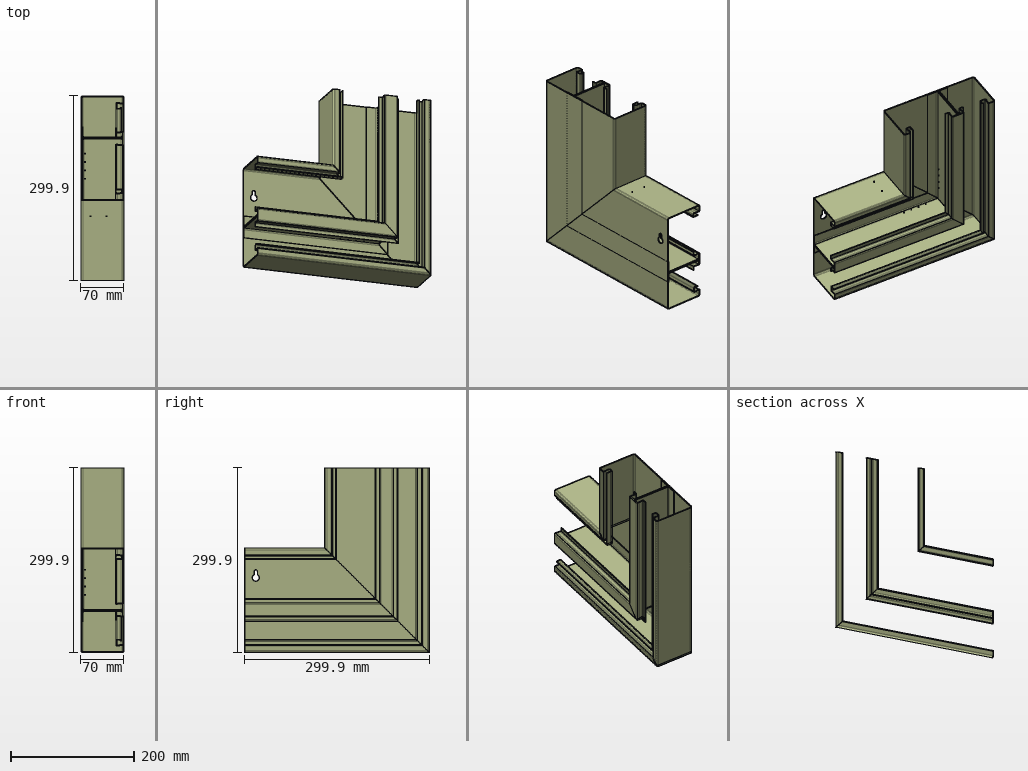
import cadquery as cq
import math

depth = 70.0
leg_length = 299.85
width = 170.0
wall = 1.7
corner_radius = 3.4
back_x = -depth / 2
half = leg_length / 2

lip_wall = 1.5
lip_face = 12.9
lip_edge_radius = 2.4
ledge_flat = 5.0
ledge_drop = 0.8
curl_radius = 2.5
outer_lip_inset = 13.3
outer_hook_height = 21.6
outer_hook_tip = 4.4
inner_lip_inset = 14.3
inner_hook_height = 19.0
inner_hook_tip = 4.0
inner_lip_fillet = 2.0

web_bottom = 66.4
web_thickness = 3.7
web_skin = 1.0
foot_half_width = 18.7
foot_thickness = 1.2
root_radius = 2.2
head_middle = 69.4
head_half_width = 11.3
head_thickness = 2.6
head_leg_inset = 14.2
head_leg_reach = 5.6

keyhole_end = 18.0
keyhole_height = 121.6
keyhole_diameter = 11.0
keyhole_slot_width = 5.0
keyhole_slot_top = 134.2
wall_hole_diameter = 1.4
wall_hole_depths = (15.7, 41.6)
wall_hole_offset = 25.5
web_hole_diameter = 1.4
web_hole_depth = 6.6
web_hole_first = 93.7
web_hole_pitch = 13.6
web_hole_count = 4


def section():
    """Cross-section plane of the lower arm: x from the back, y from the outer wall."""
    return cq.Workplane("XZ", origin=(back_x, half, -half))


def bar(x0, x1, y0, y1):
    """Rectangular strip of the section, run along the whole arm."""
    return section().moveTo((x0 + x1) / 2, (y0 + y1) / 2).rect(x1 - x0, y1 - y0).extrude(leg_length)


def mitre(arm):
    """Trim the lower arm on the diagonal from the outer to the inner corner."""
    beyond = (
        cq.Workplane("YZ", origin=(-depth, 0, 0))
        .polyline([(half, -half), (half, half), (-half, half)])
        .close()
        .extrude(2 * depth)
    )
    return arm.cut(beyond)


def upright(arm):
    """Mirror the lower arm across the mitre plane to give the upper arm."""
    return arm.mirror((0, 1, 1))


def bend_middle(radius):
    """Distance from the corner's two sides to the middle of a quarter-round corner."""
    return radius * (1 - math.sqrt(0.5))


def ledge_and_bend(edge, leg, side):
    """Start a lip outline at the open side: ledge sloping to the leg, then the bend into it.

    edge is the height of the ledge on the side away from the mouth, leg the position of the leg's
    outside, and side is +1 where the leg points away from the outer wall, -1 where it points to it.
    """
    low = edge - side * ledge_drop
    bend = bend_middle(curl_radius)
    return (
        section()
        .moveTo(depth - lip_wall, edge)
        .lineTo(depth - ledge_flat, edge)
        .lineTo(leg + curl_radius, low)
        .threePointArc((leg + bend, low + side * bend), (leg, low + side * curl_radius))
    )


def curled_lip():
    """Ledge, leg and hook with a curled tip beside the outer wall."""
    leg = depth - outer_lip_inset
    tip = depth - outer_hook_tip
    top = outer_hook_height
    inside_radius = curl_radius - lip_wall
    bend = bend_middle(curl_radius)
    inside_bend = lip_wall + bend_middle(inside_radius)
    low_face = lip_face - ledge_drop
    return (
        ledge_and_bend(lip_face - lip_wall, leg, 1)
        .lineTo(leg, top - curl_radius)
        .threePointArc((leg + bend, top - bend), (leg + curl_radius, top))
        .lineTo(tip - curl_radius, top)
        .threePointArc((tip - bend, top - bend), (tip, top - curl_radius))
        .lineTo(tip - lip_wall, top - curl_radius)
        .threePointArc((tip - inside_bend, top - inside_bend), (tip - curl_radius, top - lip_wall))
        .lineTo(leg + curl_radius, top - lip_wall)
        .threePointArc((leg + inside_bend, top - inside_bend), (leg + lip_wall, top - curl_radius))
        .lineTo(leg + lip_wall, low_face)
        .lineTo(leg + curl_radius, low_face)
        .lineTo(depth - ledge_flat, lip_face)
        .lineTo(depth - lip_wall, lip_face)
        .close()
        .extrude(leg_length)
    )


def flat_lip():
    """Ledge, leg and straight hook, drawn at the outer wall and moved to the inner one."""
    leg = depth - inner_lip_inset
    leg_inside = leg + lip_wall
    tip = depth - inner_hook_tip
    low_face = lip_face - ledge_drop
    fillet_bend = bend_middle(inner_lip_fillet)
    lip = (
        ledge_and_bend(lip_face - lip_wall, leg, 1)
        .lineTo(leg, inner_hook_height)
        .lineTo(tip, inner_hook_height)
        .lineTo(tip, inner_hook_height - lip_wall)
        .lineTo(leg_inside, inner_hook_height - lip_wall)
        .lineTo(leg_inside, low_face + inner_lip_fillet)
        .threePointArc(
            (leg_inside + fillet_bend, low_face + fillet_bend), (leg_inside + inner_lip_fillet, low_face)
        )
        .lineTo(depth - ledge_flat, lip_face)
        .lineTo(depth - lip_wall, lip_face)
        .close()
        .extrude(leg_length)
    )
    return lip.mirror("XY", (0, 0, width / 2 - half))


def keyhole():
    """Hanging hole through the back."""
    round_part = (
        cq.Workplane("YZ", origin=(back_x, keyhole_end - half, keyhole_height - half))
        .circle(keyhole_diameter / 2)
        .extrude(wall)
    )
    slot_rise = keyhole_slot_top - keyhole_slot_width / 2 - keyhole_height
    slot = (
        cq.Workplane("YZ", origin=(back_x, keyhole_end - half, keyhole_height + slot_rise / 2 - half))
        .slot2D(slot_rise + keyhole_slot_width, keyhole_slot_width, 90)
        .extrude(wall)
    )
    return round_part.union(slot)


def wall_holes():
    """Small holes through the inner wall near the inner corner."""
    places = [(back_x + x, half - width - wall_hole_offset) for x in wall_hole_depths]
    return (
        cq.Workplane("XY", origin=(0, 0, width - wall - half))
        .pushPoints(places)
        .circle(wall_hole_diameter / 2)
        .extrude(wall)
    )


def housing_arm():
    """Lower arm of the trunking: back, two walls and a lip on each side of the mouth."""
    outside = bar(0, depth, 0, width).edges("|Y").fillet(corner_radius)
    inside = bar(wall, depth - wall, wall, width - wall).edges("|Y").fillet(corner_radius - wall)
    mouth = bar(depth - wall, depth, lip_face, width - lip_face)
    shell = outside.cut(inside).cut(mouth)
    arm = shell.union(curled_lip()).union(flat_lip())
    mouth_edges = cq.selectors.BoxSelector(
        (-back_x - wall / 2, -leg_length, wall + corner_radius - half),
        (-back_x + wall / 2, leg_length, width - wall - corner_radius - half),
    )
    return mitre(arm.edges("|Y").edges(mouth_edges).fillet(lip_edge_radius))


def head_lip(side):
    """Ledge and leg at one edge of the partition head; side is -1 or +1 across the web."""
    edge = head_middle + side * head_half_width
    leg = depth - head_leg_inset
    inner = edge - side * lip_wall
    tip = edge + side * head_leg_reach
    low = edge - side * ledge_drop
    return (
        ledge_and_bend(inner, leg, side)
        .lineTo(leg, tip)
        .lineTo(leg + lip_wall, tip)
        .lineTo(leg + lip_wall, low)
        .lineTo(leg + curl_radius, low)
        .lineTo(depth - ledge_flat, edge)
        .lineTo(depth - lip_wall, edge)
        .close()
        .extrude(leg_length)
    )


def web_holes():
    """Row of small holes through the partition web next to its foot."""
    places = [
        (back_x + web_hole_depth, half - web_hole_first - i * web_hole_pitch) for i in range(web_hole_count)
    ]
    return (
        cq.Workplane("XY", origin=(0, 0, web_bottom - half))
        .pushPoints(places)
        .circle(web_hole_diameter / 2)
        .extrude(web_thickness)
    )


def partition_arm():
    """Lower partition: foot on the back, two-skin web, and a head with a lip on each side."""
    foot_top = wall + foot_thickness
    head_under = depth - head_thickness
    web_top = web_bottom + web_thickness
    foot = bar(wall, foot_top, head_middle - foot_half_width, head_middle + foot_half_width)
    web = bar(foot_top, head_under, web_bottom, web_top)
    head = bar(head_under, depth, head_middle - head_half_width, head_middle + head_half_width)
    head = head.edges(">X and |Y").fillet(lip_edge_radius)
    margin = root_radius / 2
    roots = cq.selectors.BoxSelector(
        (back_x + foot_top - margin, -leg_length, web_bottom - margin - half),
        (back_x + head_under + margin, leg_length, web_top + margin - half),
    )
    arm = foot.union(web).union(head).edges("|Y").edges(roots).fillet(root_radius)
    for side in (-1, 1):
        arm = arm.union(head_lip(side))
    gap = bar(foot_top, head_under, web_bottom + web_skin, web_top - web_skin)
    return mitre(arm.cut(gap).cut(web_holes()))


plain_arm = housing_arm()
lower_housing = plain_arm.cut(keyhole()).cut(wall_holes())
upper_housing = upright(plain_arm)
lower_partition = partition_arm()
upper_partition = upright(lower_partition)

result = cq.Compound.makeCompound(
    [lower_housing.val(), upper_housing.val(), lower_partition.val(), upper_partition.val()]
)